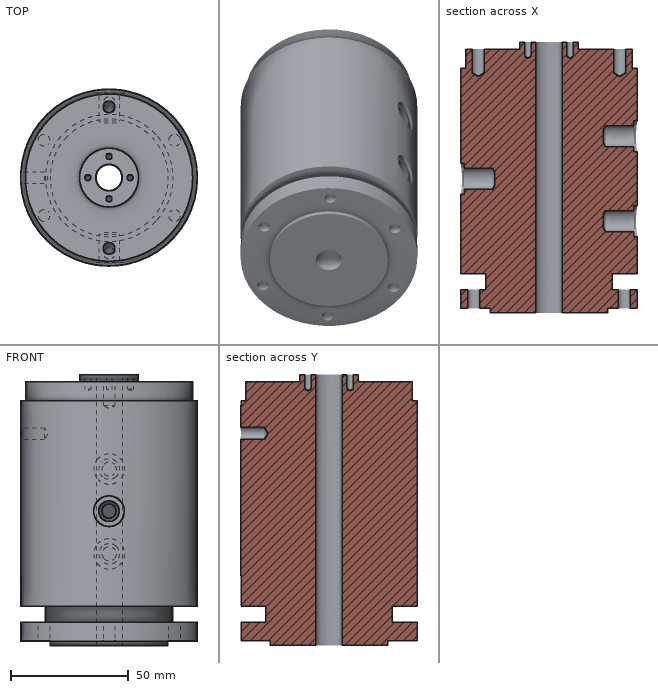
import cadquery as cq
import math

total_height = 115.0
body_diameter = 75.0
spigot_diameter = 50.0
spigot_height = 2.0
flange_height = 8.0
neck_diameter = 54.0
neck_height = 6.7
lid_diameter = 71.0
lid_height = 8.0
boss_diameter = 25.0
boss_height = 3.0
bore_diameter = 11.0

flange_top = spigot_height + flange_height
lid_top = total_height - boss_height
body_height = lid_top - lid_height - neck_height - flange_top

drill_point_angle = 118.0
lid_hole_diameter = 5.0
lid_hole_depth = 10.0
lid_hole_offset = 30.0
boss_hole_count = 4
boss_hole_diameter = 2.5
boss_hole_depth = 6.0
boss_hole_offset = 9.0
side_hole_diameter = 5.0
side_hole_depth = 10.0
side_hole_height = 90.0
flange_hole_count = 6
flange_hole_diameter = 5.0
flange_hole_offset = 32.0

spotface_diameter = 13.0
spotface_depth = 1.5
port_diameter = 8.7
port_depth = 12.0
port_floor_diameter = 6.0
port_height = 57.0
back_port_spacing = 36.0

UP = cq.Vector(0, 0, 1)
body_radius = body_diameter / 2


def cylinder(diameter, height, start, direction=UP):
    return cq.Solid.makeCylinder(diameter / 2, height, start, direction)


def cone_length(start_diameter, end_diameter):
    """Length of a drill-point cone that narrows between two diameters."""
    half_angle = math.radians(drill_point_angle / 2)
    return (start_diameter - end_diameter) / 2 / math.tan(half_angle)


def drilled_hole(diameter, depth, start, direction, floor_diameter=0.0):
    """Cutter for a blind hole with a drill-point end, cut off flat at floor_diameter."""
    shank = cylinder(diameter, depth, start, direction)
    point = cq.Solid.makeCone(
        diameter / 2,
        floor_diameter / 2,
        cone_length(diameter, floor_diameter),
        start + direction * depth,
        direction,
    )
    return shank.fuse(point)


def stacked_discs():
    discs = [
        (spigot_diameter, spigot_height),
        (body_diameter, flange_height),
        (neck_diameter, neck_height),
        (body_diameter, body_height),
        (lid_diameter, lid_height),
        (boss_diameter, boss_height),
    ]
    stack = cq.Workplane("XY")
    base = 0.0
    for diameter, height in discs:
        stack = stack.add(cylinder(diameter, height, cq.Vector(0, 0, base)))
        base += height
    return stack.combine()


def circle_points(count, radius, height):
    """Points evenly spaced on a circle about Z, the first one on +Y."""
    angles = [math.radians(90 + 360 * i / count) for i in range(count)]
    return [cq.Vector(radius * math.cos(a), radius * math.sin(a), height) for a in angles]


def port(side, height):
    """Cutter for a spotfaced port on the -Y (side = -1) or +Y (side = 1) face."""
    inward = cq.Vector(0, -side, 0)
    rim = cq.Vector(0, side * body_radius, height)
    spotface = cylinder(spotface_diameter, spotface_depth, rim, inward)
    floor = rim + inward * spotface_depth
    return spotface.fuse(drilled_hole(port_diameter, port_depth, floor, inward, port_floor_diameter))


result = stacked_discs()

result = result.cut(cq.Workplane(cylinder(bore_diameter, total_height, cq.Vector(0, 0, 0))))

for point in circle_points(2, lid_hole_offset, lid_top):
    result = result.cut(cq.Workplane(drilled_hole(lid_hole_diameter, lid_hole_depth, point, -UP)))

for point in circle_points(boss_hole_count, boss_hole_offset, total_height):
    result = result.cut(cq.Workplane(drilled_hole(boss_hole_diameter, boss_hole_depth, point, -UP)))

for point in circle_points(flange_hole_count, flange_hole_offset, spigot_height):
    result = result.cut(cq.Workplane(cylinder(flange_hole_diameter, flange_height, point)))

side_start = cq.Vector(-body_radius, 0, side_hole_height)
side_hole = drilled_hole(side_hole_diameter, side_hole_depth, side_start, cq.Vector(1, 0, 0))
result = result.cut(cq.Workplane(side_hole))

port_places = [
    (-1, port_height),
    (1, port_height - back_port_spacing / 2),
    (1, port_height + back_port_spacing / 2),
]
for side, height in port_places:
    result = result.cut(cq.Workplane(port(side, height)))